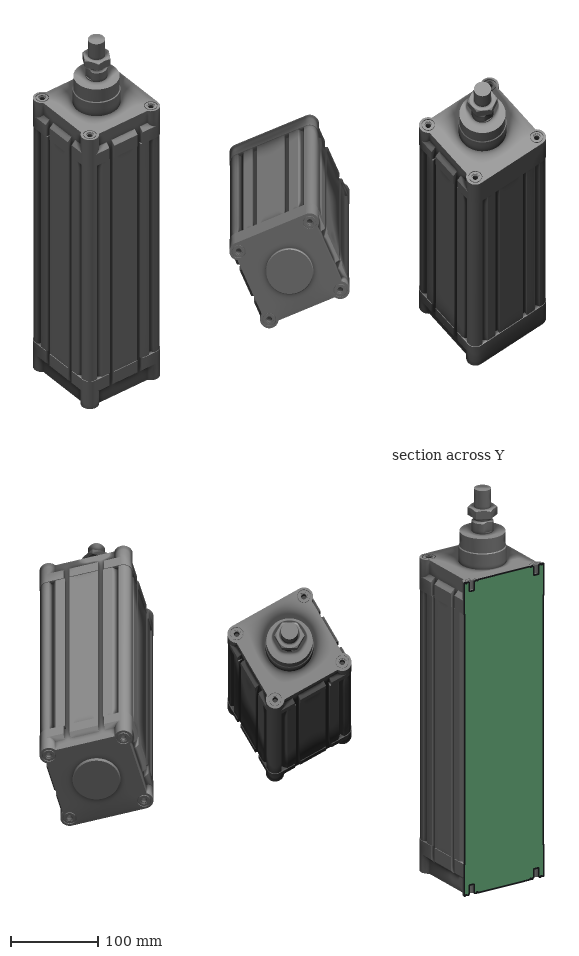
import cadquery as cq
import math

TOTAL_LENGTH = 483.0
SPIGOT_LENGTH = 4.0
CAP_HEIGHT = 39.5
FRONT_FACE_Z = 392.5
COLLAR_LENGTH = 37.5
COLLAR_FACE_Z = FRONT_FACE_Z + COLLAR_LENGTH

CAP_WIDTH = 110.0
CAP_HALF = CAP_WIDTH / 2
POST_OFFSET = 44.5
POST_RADIUS = CAP_HALF - POST_OFFSET
RELIEF_HALF = 49.7
RELIEF_DEPTH = CAP_HALF - RELIEF_HALF
RELIEF_HEIGHT = 17.5
CAP_SLOT_INNER = 17.0
CAP_SLOT_OUTER = 24.0
SPIGOT_DIAMETER = 55.0
SPIGOT_CHAMFER = 1.0

HEAD_GROOVE_OUTER_DIAMETER = 16.0
HEAD_GROOVE_INNER_DIAMETER = 14.0
HEAD_GROOVE_DEPTH = 1.5
SOCKET_STEPS = [(9.5, 0.5), (8.0, 1.5), (6.5, 12.0)]

COLLAR_BASE_DIAMETER = 55.0
COLLAR_NOSE_DIAMETER = 53.0
COLLAR_BASE_LENGTH = 20.0
COLLAR_CHAMFER = (COLLAR_BASE_DIAMETER - COLLAR_NOSE_DIAMETER) / 2

BARREL_WIDTH = 108.5
BARREL_HALF = BARREL_WIDTH / 2
BARREL_SLOT_INNER = CAP_SLOT_INNER
BARREL_SLOT_OUTER = 22.5
BARREL_SLOT_DEPTH = BARREL_HALF - RELIEF_HALF
GROOVE_OUTER = 41.5
GROOVE_ROOT = 38.5
GROOVE_INNER = 34.0
GROOVE_DEPTH = GROOVE_ROOT - GROOVE_INNER

ROD_DIAMETER = 25.0
ROD_LENGTH = 14.5
ROD_FLAT_WIDTH = 22.0
ROD_FLAT_START = 1.5
SHOULDER_CHAMFER = 2.0
THREAD_DIAMETER = 20.0
NUT_WIDTH = 30.0
NUT_HEIGHT = 10.0
NUT_BASE_Z = 450.0
NUT_CHAMFER_ANGLE = 30

CORNERS = [(sx * POST_OFFSET, sy * POST_OFFSET) for sx in (-1, 1) for sy in (-1, 1)]


def box_between(x0, x1, y0, y1, z0, z1):
    """Axis-aligned block given by its limits."""
    return cq.Workplane("XY").box(x1 - x0, y1 - y0, z1 - z0, centered=False).translate((x0, y0, z0))


def cylinder(diameter, z0, z1):
    """Upright cylinder on the Z axis."""
    return cq.Workplane("XY").workplane(offset=z0).circle(diameter / 2).extrude(z1 - z0)


def relief_cut():
    """Material removed from the -Y side of the front cap, with Z = 0 at the cap's outer face."""
    outer = CAP_HALF + RELIEF_DEPTH
    cut = (
        cq.Workplane("YZ")
        .moveTo(-RELIEF_HALF, 0)
        .lineTo(-outer, 0)
        .lineTo(-outer, -RELIEF_HEIGHT - 2 * RELIEF_DEPTH)
        .lineTo(-RELIEF_HALF, -RELIEF_HEIGHT)
        .close()
        .extrude(CAP_HALF, both=True)
    )
    for x0 in (-CAP_SLOT_OUTER, CAP_SLOT_INNER):
        x1 = x0 + CAP_SLOT_OUTER - CAP_SLOT_INNER
        cut = cut.union(box_between(x0, x1, -outer, -RELIEF_HALF, -CAP_HEIGHT, 0))
    return cut


def cut_screw_heads(cap):
    """Cut the ring groove and the stepped socket of the screw in each corner post."""
    centers = cq.Workplane("XY").pushPoints(CORNERS)
    groove = (
        centers.circle(HEAD_GROOVE_OUTER_DIAMETER / 2)
        .circle(HEAD_GROOVE_INNER_DIAMETER / 2)
        .extrude(-HEAD_GROOVE_DEPTH)
    )
    cap = cap.cut(groove)
    for diameter, depth in SOCKET_STEPS:
        cap = cap.cut(cq.Workplane("XY").pushPoints(CORNERS).circle(diameter / 2).extrude(-depth))
    return cap


def make_cap():
    """End cap with its outer face at Z = 0 and its +Y side left plain."""
    wide = cq.Workplane("XY").rect(CAP_WIDTH, 2 * POST_OFFSET).extrude(-CAP_HEIGHT)
    deep = cq.Workplane("XY").rect(2 * POST_OFFSET, CAP_WIDTH).extrude(-CAP_HEIGHT)
    cap = wide.union(deep)
    cut = relief_cut()
    for angle in (-90, 0, 90):
        cap = cap.cut(cut.rotate((0, 0, 0), (0, 0, 1), angle))
    cap = cap.union(cq.Workplane("XY").pushPoints(CORNERS).circle(POST_RADIUS).extrude(-CAP_HEIGHT))
    return cut_screw_heads(cap)


def make_barrel(z0, z1):
    """Square profile tube body with two slots and two V grooves on each side."""
    length = z1 - z0
    barrel = (
        cq.Workplane("XY")
        .workplane(offset=z0)
        .rect(BARREL_WIDTH, BARREL_WIDTH)
        .extrude(length)
        .edges("|Z")
        .fillet(BARREL_HALF - POST_OFFSET)
    )
    slot = box_between(
        BARREL_SLOT_INNER, BARREL_SLOT_OUTER, -BARREL_HALF, -BARREL_HALF + BARREL_SLOT_DEPTH, z0, z1
    )
    groove = (
        cq.Workplane("XY")
        .workplane(offset=z0)
        .polyline(
            [
                (GROOVE_OUTER, -BARREL_HALF),
                (GROOVE_ROOT, -BARREL_HALF + GROOVE_DEPTH),
                (GROOVE_INNER, -BARREL_HALF),
            ]
        )
        .close()
        .extrude(length)
    )
    half = slot.union(groove)
    cut = half.union(half.mirror("YZ"))
    for angle in (0, 90, 180, 270):
        barrel = barrel.cut(cut.rotate((0, 0, 0), (0, 0, 1), angle))
    return barrel


def make_housing():
    """Cylinder body: barrel, both end caps, rear spigot and front collar."""
    cap = make_cap()
    front_cap = cap.translate((0, 0, FRONT_FACE_Z))
    rear_cap = cap.mirror("XY").translate((0, 0, SPIGOT_LENGTH))
    barrel = make_barrel(SPIGOT_LENGTH + CAP_HEIGHT, FRONT_FACE_Z - CAP_HEIGHT)
    spigot = cylinder(SPIGOT_DIAMETER, 0, SPIGOT_LENGTH).faces("<Z").chamfer(SPIGOT_CHAMFER)
    nose_z = FRONT_FACE_Z + COLLAR_BASE_LENGTH
    collar_base = cylinder(COLLAR_BASE_DIAMETER, FRONT_FACE_Z, nose_z)
    collar_base = collar_base.faces(">Z").chamfer(COLLAR_CHAMFER)
    collar_nose = cylinder(COLLAR_NOSE_DIAMETER, nose_z, COLLAR_FACE_Z)
    housing = barrel.union(front_cap).union(rear_cap)
    return housing.union(spigot).union(collar_base).union(collar_nose)


def make_rod():
    """Piston rod end standing on the collar, with two wrench flats and a threaded end."""
    shoulder_z = COLLAR_FACE_Z + ROD_LENGTH
    shank = cylinder(ROD_DIAMETER, COLLAR_FACE_Z, shoulder_z).faces(">Z").chamfer(SHOULDER_CHAMFER)
    flats = box_between(
        -ROD_DIAMETER,
        ROD_DIAMETER,
        -ROD_FLAT_WIDTH / 2,
        ROD_FLAT_WIDTH / 2,
        COLLAR_FACE_Z + ROD_FLAT_START,
        shoulder_z,
    )
    foot = cylinder(ROD_DIAMETER, COLLAR_FACE_Z, COLLAR_FACE_Z + ROD_FLAT_START)
    thread = cylinder(THREAD_DIAMETER, shoulder_z, TOTAL_LENGTH)
    return shank.intersect(flats).union(foot).union(thread)


def make_nut():
    """Hexagonal lock nut with corners facing +Y and -Y, chamfered on its outer face."""
    corner_diameter = NUT_WIDTH / math.cos(math.radians(30))
    drop = (corner_diameter - NUT_WIDTH) / 2 * math.tan(math.radians(NUT_CHAMFER_ANGLE))
    blank = (
        cq.Workplane("XY")
        .polygon(6, corner_diameter)
        .extrude(NUT_HEIGHT)
        .rotate((0, 0, 0), (0, 0, 1), 30)
    )
    envelope = (
        cq.Workplane("XZ")
        .moveTo(0, 0)
        .lineTo(corner_diameter / 2, 0)
        .lineTo(corner_diameter / 2, NUT_HEIGHT - drop)
        .lineTo(NUT_WIDTH / 2, NUT_HEIGHT)
        .lineTo(0, NUT_HEIGHT)
        .close()
        .revolve(360, (0, 0, 0), (0, 1, 0))
    )
    bore = cylinder(THREAD_DIAMETER, 0, NUT_HEIGHT)
    return blank.intersect(envelope).cut(bore).translate((0, 0, NUT_BASE_Z))


housing = make_housing()
rod = make_rod()
nut = make_nut()

result = cq.Compound.makeCompound([housing.val(), rod.val(), nut.val()])